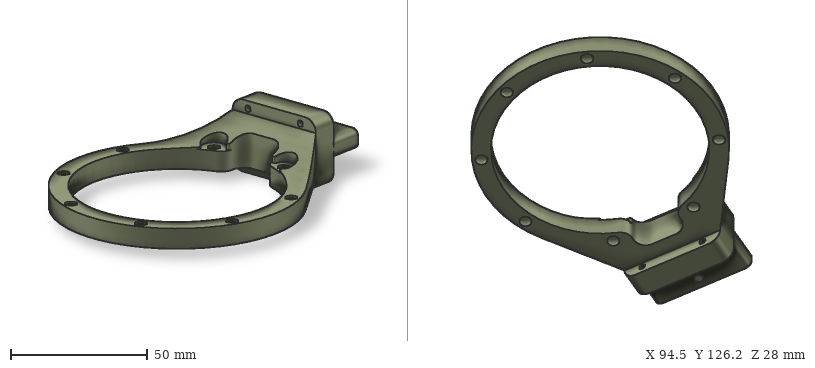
import cadquery as cq
import math

ring_diameter = 94.5
ring_radius = ring_diameter / 2
bore_radius = 40.0
ring_height = 8.0

bolt_circle_radius = 43.8
bolt_count = 8
bolt_hole_diameter = 4.5
bolt_step = 360 / bolt_count
spotface_radius = 5.0
spotface_blend = 1.0

overall_length = 126.2

block_width = 40.0
block_front = 54.8
block_back = 65.0
block_corner = 5.0
block_overhang = 5.0
block_height = 28.0
block_bottom = -block_overhang
block_middle = block_bottom + block_height / 2
tongue_back = overall_length - ring_radius
tongue_height = ring_height
tongue_corner = 3.0
tongue_hole_diameter = 3.3
tongue_hole_inset = 4.0
block_hole_diameter = 2.5
block_hole_spacing = 25.1
block_hole_inset = 3.0

notch_width = 20.0
notch_end = 48.6
notch_corner = 5.0
lug_round = 5.0

half_width = block_width / 2
corner_distance = math.hypot(half_width, block_front)
corner_angle = math.atan2(block_front, half_width)
tangent_angle = corner_angle - math.acos(ring_radius / corner_distance)
tangent_x = ring_radius * math.cos(tangent_angle)
tangent_y = ring_radius * math.sin(tangent_angle)

ramp_top = block_bottom + block_height - block_corner
ramp_rise = ramp_top - ring_height
ramp_run = block_front - tangent_y
ramp_radius = (ramp_run**2 + ramp_rise**2) / (2 * ramp_rise)


def rounded_bar(height, corner, front, back):
    """Bar along Y, as wide as the block, with its four long edges rounded."""
    return (
        cq.Workplane("XZ", origin=(0, front, block_middle))
        .rect(block_width, height)
        .extrude(front - back)
        .edges("|Y")
        .fillet(corner)
    )


def make_ring():
    return cq.Workplane("XY").circle(ring_radius).extrude(ring_height)


def make_arm():
    """Tapering plate under a concave cylindrical ramp."""
    plate = (
        cq.Workplane("XY")
        .moveTo(-tangent_x, tangent_y)
        .lineTo(-half_width, block_front)
        .lineTo(half_width, block_front)
        .lineTo(tangent_x, tangent_y)
        .close()
        .extrude(ramp_top)
    )
    half_sweep = math.asin(ramp_run / ramp_radius) / 2
    middle_y = tangent_y + ramp_radius * math.sin(half_sweep)
    middle_z = ring_height + ramp_radius * (1 - math.cos(half_sweep))
    profile = (
        cq.Workplane("YZ")
        .moveTo(tangent_y, 0)
        .lineTo(tangent_y, ring_height)
        .threePointArc((middle_y, middle_z), (block_front, ramp_top))
        .lineTo(block_front, 0)
        .close()
        .extrude(tangent_x, both=True)
    )
    return plate.intersect(profile)


def make_opening():
    """Round bore joined to the notch, with the lug tips and notch corners rounded."""
    bore = cq.Workplane("XY").circle(bore_radius).extrude(ramp_top)
    notch = (
        cq.Workplane("XY")
        .center(0, notch_end / 2)
        .rect(notch_width, notch_end)
        .extrude(ramp_top)
        .edges("|Z and >Y")
        .fillet(notch_corner)
    )
    lug_y = math.sqrt(bore_radius**2 - (notch_width / 2) ** 2)
    tips = cq.selectors.BoxSelector(
        (-notch_width, lug_y - 0.1, -1.3),
        (notch_width, lug_y + 0.1, ramp_top + 1.3),
    )
    return bore.union(notch).edges("|Z").edges(tips).fillet(lug_round)


def cut_bolt_holes(body):
    holes = (
        cq.Workplane("XY")
        .polarArray(bolt_circle_radius, bolt_step / 2, 360, bolt_count)
        .circle(bolt_hole_diameter / 2)
        .extrude(ramp_top)
    )
    return body.cut(holes)


def make_blend(bolt, center, wall_point):
    """Space that opens a spotface to the opening, leaving the ramp's tip round about center."""
    return (
        cq.Workplane("XY", origin=(0, 0, ring_height))
        .polyline([bolt, center, wall_point, (0, 0)])
        .close()
        .extrude(ramp_rise)
        .cut(cq.Workplane("XY").center(*center).circle(spotface_blend).extrude(ramp_top))
    )


def cut_spotfaces(body):
    """Clear the ramp around the two bolt holes beside the notch, down to the ring top."""
    bolt_angle = math.radians(90 - bolt_step / 2)
    bolt = (bolt_circle_radius * math.cos(bolt_angle), bolt_circle_radius * math.sin(bolt_angle))
    reach = spotface_radius + spotface_blend

    notch_wall = notch_width / 2
    notch_x = notch_wall + spotface_blend
    notch_y = bolt[1] + math.sqrt(reach**2 - (bolt[0] - notch_x) ** 2)
    notch_blend = make_blend(bolt, (notch_x, notch_y), (notch_wall, notch_y))

    axis_reach = bore_radius + spotface_blend
    spread = math.acos(
        (axis_reach**2 + bolt_circle_radius**2 - reach**2) / (2 * axis_reach * bolt_circle_radius)
    )
    bore_angle = bolt_angle - spread
    bore_center = (axis_reach * math.cos(bore_angle), axis_reach * math.sin(bore_angle))
    bore_point = (bore_radius * math.cos(bore_angle), bore_radius * math.sin(bore_angle))
    bore_blend = make_blend(bolt, bore_center, bore_point)

    pocket = (
        cq.Workplane("XY", origin=(*bolt, ring_height))
        .circle(spotface_radius)
        .extrude(ramp_rise)
        .union(notch_blend)
        .union(bore_blend)
    )
    return body.cut(pocket).cut(pocket.mirror("YZ"))


def cut_mounting_holes(body):
    tongue_hole = (
        cq.Workplane("XY", origin=(0, tongue_back - tongue_hole_inset, block_bottom))
        .circle(tongue_hole_diameter / 2)
        .extrude(block_height)
    )
    block_holes = (
        cq.Workplane("XZ", origin=(0, block_front, block_middle))
        .rect(block_hole_spacing, block_height - 2 * block_hole_inset, forConstruction=True)
        .vertices()
        .circle(block_hole_diameter / 2)
        .extrude(block_front - block_back)
    )
    return body.cut(tongue_hole).cut(block_holes)


block = rounded_bar(block_height, block_corner, block_front, block_back)
tongue = rounded_bar(tongue_height, tongue_corner, block_back, tongue_back)
body = make_ring().union(make_arm()).cut(make_opening())
body = cut_spotfaces(body)
body = cut_bolt_holes(body)
body = body.union(block).union(tongue)
result = cut_mounting_holes(body)